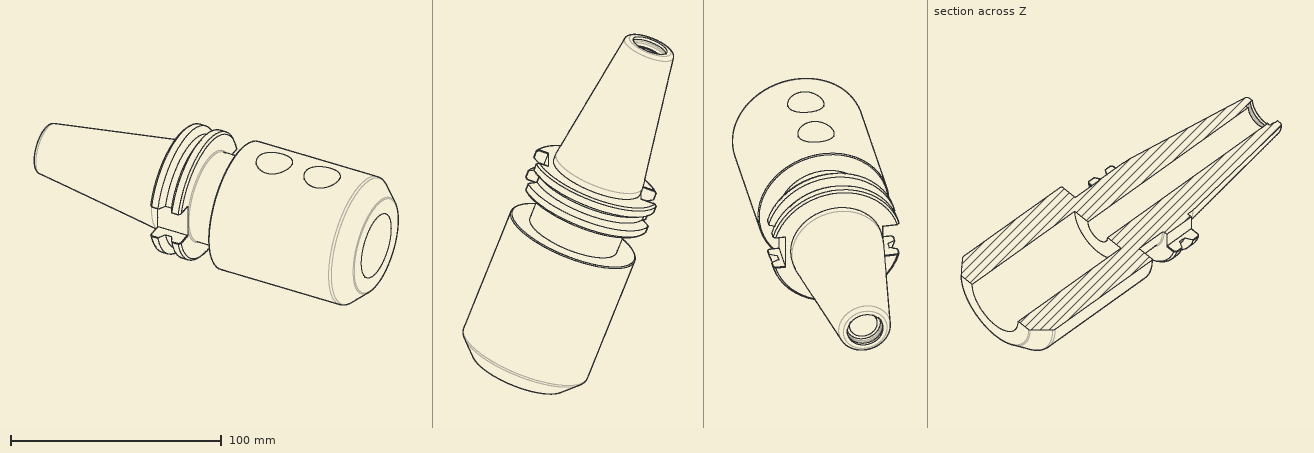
import cadquery as cq

length = 176.2
taper_end = 68.0
flange_start = 71.2
flange_end = 87.4
body_start = 102.9
nose_start = 167.5

shank_radius = 22.2
neck_corner_fillet = 0.5
taper_slope = 3.5 / 24
small_end_radius = shank_radius - taper_slope * taper_end
small_end_fillet = 2.0
flange_radius = 31.7
body_radius = 31.7
body_edge_chamfer = 0.5
nose_radius = 23.6
nose_shoulder_fillet = 1.8
nose_tip_fillet = 0.9

flange_edge_chamfer = 1.0
groove_radius = 28.0
groove_center = (flange_start + flange_end) / 2
groove_floor_width = 3.2
groove_mouth_width = 7.4

slot_width = 16.7
slot_floor_front = 22.4
slot_floor_back = 24.7
slot_edge_chamfer = 0.4
rim_edge_y = 29.6

through_radius = 13.4 / 2
thread_radius = 16.4 / 2
thread_depth = 4.5
entry_radius = 17.3 / 2
entry_depth = 1.4
relief_radius = 16.7 / 2
relief_start = 2.1
relief_end = 3.0
tool_bore_radius = 31.7 / 2
tool_bore_start = 109.2

screw_diameter = 17.3
screw_positions = (122.1, 147.5)

cut_overshoot = 1.8


def revolve_profile(points):
    """Revolve an (x, radius) outline around the X axis."""
    return cq.Workplane("XY").polyline(points).close().revolve(360, (0, 0, 0), (1, 0, 0))


def make_shank():
    shank = revolve_profile([
        (0, 0),
        (0, small_end_radius),
        (taper_end, shank_radius),
        (body_start, shank_radius),
        (body_start, 0),
    ])
    return shank.faces("<X").edges().fillet(small_end_fillet)


def make_flange():
    half_floor = groove_floor_width / 2
    half_mouth = groove_mouth_width / 2
    rim_radius = flange_radius - flange_edge_chamfer
    return revolve_profile([
        (flange_start, 0),
        (flange_start, rim_radius),
        (flange_start + flange_edge_chamfer, flange_radius),
        (groove_center - half_mouth, flange_radius),
        (groove_center - half_floor, groove_radius),
        (groove_center + half_floor, groove_radius),
        (groove_center + half_mouth, flange_radius),
        (flange_end - flange_edge_chamfer, flange_radius),
        (flange_end, rim_radius),
        (flange_end, 0),
    ])


def make_slot(floor, side):
    """Box that opens the flange from its floor outwards; side is +1 or -1 in Y."""
    depth = flange_radius - floor + cut_overshoot
    return (
        cq.Workplane("XY")
        .box(flange_end - flange_start, depth, slot_width)
        .translate((groove_center, side * (floor + depth / 2), 0))
    )


def wall_edges_in(x_range, y_range):
    """Select the edges whose centers lie within the given X and Y ranges."""
    margin = 0.02
    return cq.selectors.BoxSelector(
        (x_range[0] - margin, y_range[0], -flange_radius),
        (x_range[1] + margin, y_range[1], flange_radius),
    )


def make_slotted_flange():
    """Cut both slots and break the wall edges on the end faces and the rim lands."""
    flange = make_flange()
    flange = flange.cut(make_slot(slot_floor_front, -1)).cut(make_slot(slot_floor_back, 1))
    walls = flange.faces("|Z")
    front_end = wall_edges_in((flange_start, flange_start), (-flange_radius, flange_radius))
    rear_end = wall_edges_in((flange_end, flange_end), (-flange_radius, flange_radius))
    front_rim = wall_edges_in((flange_start, flange_end), (-flange_radius, -rim_edge_y))
    back_rim = wall_edges_in((flange_start, flange_end), (rim_edge_y, flange_radius))
    return walls.edges(front_end + rear_end + front_rim + back_rim).chamfer(slot_edge_chamfer)


def round_neck_corner(holder):
    corner = cq.selectors.NearestToPointSelector((flange_end, 0, 0))
    return holder.edges("%CIRCLE").edges(corner).fillet(neck_corner_fillet)


def make_body():
    body = revolve_profile([
        (body_start, 0),
        (body_start, body_radius - body_edge_chamfer),
        (body_start + body_edge_chamfer, body_radius),
        (nose_start, body_radius),
        (length, nose_radius),
        (length, 0),
    ])
    shoulder = cq.selectors.NearestToPointSelector((nose_start, 0, 0))
    body = body.faces(">X").edges().fillet(nose_tip_fillet)
    return body.edges("%CIRCLE").edges(shoulder).fillet(nose_shoulder_fillet)


def make_bores():
    return revolve_profile([
        (0, 0),
        (0, entry_radius),
        (entry_depth, entry_radius),
        (relief_start, relief_radius),
        (relief_end, thread_radius),
        (thread_depth, thread_radius),
        (thread_depth, through_radius),
        (tool_bore_start, through_radius),
        (tool_bore_start, tool_bore_radius),
        (length, tool_bore_radius),
        (length, 0),
    ])


def make_screw_holes():
    return (
        cq.Workplane("XY")
        .pushPoints([(x, 0) for x in screw_positions])
        .circle(screw_diameter / 2)
        .extrude(body_radius + cut_overshoot)
    )


holder = round_neck_corner(make_shank().union(make_slotted_flange()))
result = holder.union(make_body()).cut(make_bores()).cut(make_screw_holes())